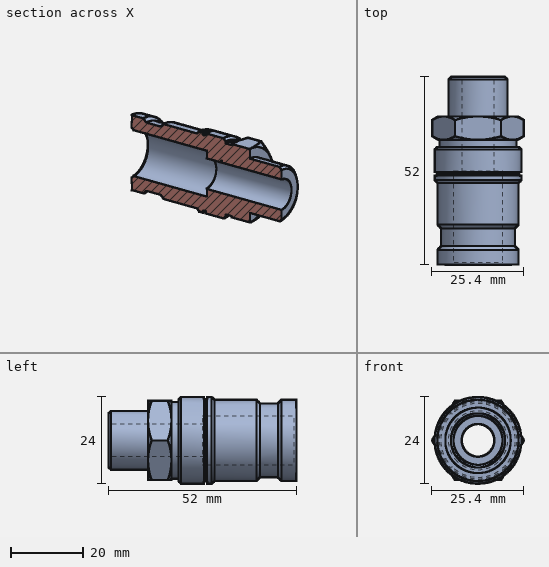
import cadquery as cq
import math

total_length = 52.0

spigot_radius = 8.15
edge_chamfer = 0.8

hex_corner_width = 25.4
hex_flat_radius = hex_corner_width / 2 * math.cos(math.radians(30))
hex_start = 10.95
hex_end = 17.4
hex_chamfer_angle = 30.0

neck_radius = 10.65
collar_radius = 12.0
collar_start = 19.35
split_groove_start = 26.35
split_groove_width = 0.95
split_groove_wall_radius = 11.5
split_groove_floor_radius = 11.2
collar_end = 29.35

body_radius = 11.25
lock_groove_radius = 10.25
lock_groove_start = 40.85
lock_groove_end = 47.8
groove_slope = body_radius - lock_groove_radius

insert_radius = 9.05
insert_projection = 0.1
face_station = total_length - insert_projection

through_radius = 4.45
socket_radius = 6.75
socket_depth = 26.0
mouth_chamfer = 0.75


def revolve_profile(points):
    """Revolve (radius, station) points about the Y axis, centred along its length."""
    placed = [(radius, total_length / 2 - station) for radius, station in points]
    return cq.Workplane("XY").polyline(placed).close().revolve(360, (0, 0), (0, 1))


def make_hex():
    """Hexagon with corners on X, its corners trimmed by a cone at each end."""
    rise = (hex_corner_width / 2 - hex_flat_radius) * math.tan(math.radians(hex_chamfer_angle))
    prism = (
        cq.Workplane("XZ", origin=(0, total_length / 2 - hex_start, 0))
        .polygon(6, hex_corner_width)
        .extrude(hex_end - hex_start)
    )
    envelope = revolve_profile([
        (0, hex_start),
        (hex_flat_radius, hex_start),
        (hex_corner_width / 2, hex_start + rise),
        (hex_corner_width / 2, hex_end - rise),
        (hex_flat_radius, hex_end),
        (0, hex_end),
    ])
    return prism.intersect(envelope)


def make_turned_body():
    """Solid of revolution from the spigot to the socket face."""
    return revolve_profile([
        (0, 0),
        (spigot_radius - edge_chamfer, 0),
        (spigot_radius, edge_chamfer),
        (spigot_radius, hex_start),
        (neck_radius, hex_start),
        (neck_radius, collar_start),
        (collar_radius - edge_chamfer, collar_start),
        (collar_radius, collar_start + edge_chamfer),
        (collar_radius, split_groove_start),
        (split_groove_wall_radius, split_groove_start),
        (split_groove_floor_radius, split_groove_start + split_groove_width / 2),
        (split_groove_wall_radius, split_groove_start + split_groove_width),
        (collar_radius, split_groove_start + split_groove_width),
        (collar_radius, collar_end - edge_chamfer),
        (body_radius, collar_end),
        (body_radius, lock_groove_start),
        (lock_groove_radius, lock_groove_start + groove_slope),
        (lock_groove_radius, lock_groove_end - groove_slope),
        (body_radius, lock_groove_end),
        (body_radius, face_station),
        (insert_radius, face_station),
        (insert_radius, total_length),
        (0, total_length),
    ])


def make_bore():
    """Through hole opening into the wider socket with a chamfered mouth."""
    floor = total_length - socket_depth
    return revolve_profile([
        (0, 0),
        (through_radius, 0),
        (through_radius, floor),
        (socket_radius, floor),
        (socket_radius, total_length - mouth_chamfer),
        (socket_radius + mouth_chamfer, total_length),
        (0, total_length),
    ])


result = make_turned_body().union(make_hex()).cut(make_bore())